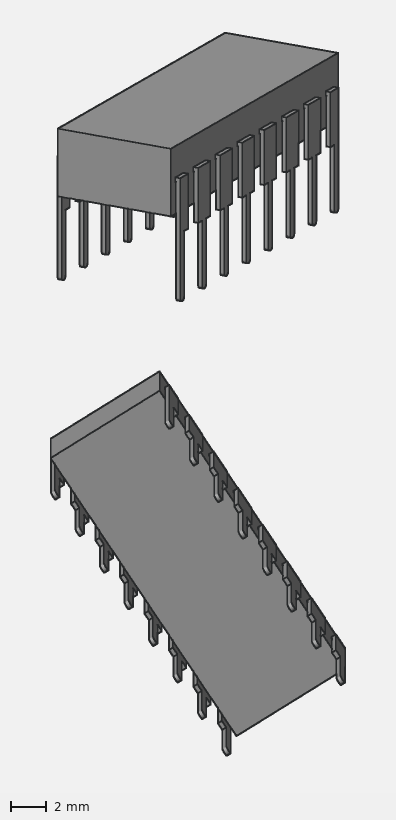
import cadquery as cq

body_length = 19.3
body_width = 7.28
body_height = 4.01
overall_width = 7.9
overall_height = 9.2

leads_per_row = 8
lead_pitch = 2.54
lead_thickness = 0.27
lead_top_depth = 1.85
shoulder_bottom_depth = 5.11
shoulder_width = 1.4
pin_width = 0.48

body_bottom = overall_height - body_height
lead_top = overall_height - lead_top_depth
shoulder_bottom = overall_height - shoulder_bottom_depth
lead_outer_x = overall_width / 2
body_side_x = body_width / 2
tip_radius = pin_width / 2
half_row = (leads_per_row - 1) * lead_pitch / 2


def block(x_min, x_max, y_min, y_max, z_min, z_max):
    """Box given by its limits along each axis."""
    size = (x_max - x_min, y_max - y_min, z_max - z_min)
    return cq.Workplane("XY").box(*size, centered=False).translate((x_min, y_min, z_min))


def make_pin(y):
    """Narrow lower leg with a fully rounded tip, on the +X side."""
    return (
        cq.Workplane("YZ", origin=(lead_outer_x - lead_thickness, y, 0))
        .moveTo(-tip_radius, shoulder_bottom)
        .lineTo(-tip_radius, tip_radius)
        .threePointArc((0, 0), (tip_radius, tip_radius))
        .lineTo(tip_radius, shoulder_bottom)
        .close()
        .extrude(lead_thickness)
    )


def make_lead(index):
    """Bent lead on the +X side; end leads have no shoulder beyond the pin."""
    y = index * lead_pitch - half_row
    y_min = y - (pin_width if index == 0 else shoulder_width) / 2
    y_max = y + (pin_width if index == leads_per_row - 1 else shoulder_width) / 2
    plate = block(lead_outer_x - lead_thickness, lead_outer_x, y_min, y_max, shoulder_bottom, lead_top)
    bent_top = block(body_side_x, lead_outer_x, y_min, y_max, lead_top - lead_thickness, lead_top)
    return plate.union(bent_top).union(make_pin(y))


result = block(
    -body_side_x, body_side_x, -body_length / 2, body_length / 2, body_bottom, overall_height
)

for lead_index in range(leads_per_row):
    lead = make_lead(lead_index)
    result = result.union(lead).union(lead.mirror("YZ"))